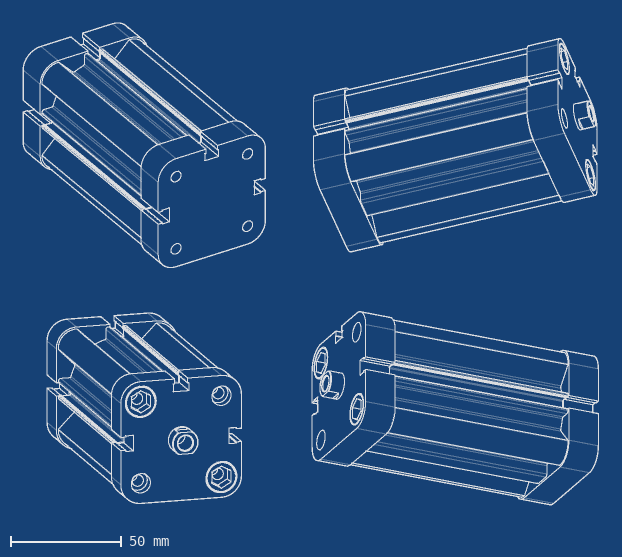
import cadquery as cq
import math

LENGTH = 123.0
ROD_PROTRUSION = 6.8
CAP_LENGTH = 14.8
CAP_SIZE = 57.0
CAP_CORNER_RADIUS = 9.5

FRONT_CAP_X = ROD_PROTRUSION
BARREL_X = FRONT_CAP_X + CAP_LENGTH
REAR_CAP_X = LENGTH - CAP_LENGTH
BARREL_LENGTH = REAR_CAP_X - BARREL_X

BOLT_OFFSET = CAP_SIZE / 2 - CAP_CORNER_RADIUS
BOLT_HOLE_DIAMETER = 5.3
RECESS_WIDTH = 9.0
RECESS_DEPTH = 4.9
SOCKET_DEPTH = 5.9
COLLAR_OUTER_RADIUS = 7.3
COLLAR_INNER_RADIUS = 6.8
COLLAR_GROOVE_DEPTH = 1.2

CAP_SLOT_DEPTH = 5.9
CAP_SLOT_FLOOR = CAP_SIZE / 2 - CAP_SLOT_DEPTH
CAP_SLOT_MOUTH = 6.2
CAP_SLOT_WIDTH = 7.3
CAP_LIP_THICKNESS = 2.3

BARREL_HALF = 27.5
TUBE_RADIUS = BARREL_HALF - BOLT_OFFSET
TUBE_EDGE = 18.7
SHELL_RADIUS = 22.3
VALLEY_RADIUS = 1.0
SLOT_BOSS_HALF = 5.0
SLOT_BOSS_TOP = 27.4
SLOT_BOSS_ROUND = 1.1
SLOT_BOSS_FOOT_RADIUS = 0.7
BARREL_LIP_HALF = 2.8
BARREL_LIP_CHAMFER = 0.4
BARREL_LIP_BOTTOM = CAP_SIZE / 2 - CAP_LIP_THICKNESS
BARREL_SLOT_WIDTH = 6.3
BARREL_FLOOR_DROP = 0.7
BARREL_SLOT_FLOOR = CAP_SLOT_FLOOR - BARREL_FLOOR_DROP
BARREL_SLOT_ROUND = 0.4
SLOT_ANGLES = (0, 90, -90)

ROD_DIAMETER = 12.0
ROD_TIP_CHAMFER = 0.2
ROD_FLATS = 10.1
ROD_FLAT_LENGTH = 5.2
ROD_FLAT_RUNOUT = 0.4
THREAD_DIAMETER = 7.6
THREAD_CHAMFER = 0.4
THREAD_DEPTH = 12.3
DRILL_ANGLE = 118.0


def cross_section(x):
    """Plane across the axis at x, with local x along -Y, local y along Z and normal -X."""
    return cq.Workplane(cq.Plane(origin=(x, 0, 0), xDir=(0, -1, 0), normal=(-1, 0, 0)))


def bolt_points(diagonal=None):
    """Bolt centres: all four, or the pair on one diagonal (+1 or -1)."""
    corners = [(u, v) for u in (-1, 1) for v in (-1, 1)]
    return [(u * BOLT_OFFSET, v * BOLT_OFFSET) for u, v in corners if diagonal in (None, u * v)]


def bolt_holes(x, length):
    """Four bolt holes of the given length, starting at x."""
    return cross_section(x).pushPoints(bolt_points()).circle(BOLT_HOLE_DIAMETER / 2).extrude(-length)


def turned(shape, angle):
    """The shape turned about the X axis by an angle in degrees."""
    return shape.rotate((0, 0, 0), (1, 0, 0), angle)


def cap_slot(x):
    """Undercut slot through the top of a cap starting at x."""
    top = CAP_SIZE / 2
    lip = top - CAP_LIP_THICKNESS
    mouth = CAP_SLOT_MOUTH / 2
    wide = CAP_SLOT_WIDTH / 2
    outline = [
        (-mouth, top), (-mouth, lip), (-wide, lip), (-wide, CAP_SLOT_FLOOR),
        (wide, CAP_SLOT_FLOOR), (wide, lip), (mouth, lip), (mouth, top),
    ]
    return cross_section(x).polyline(outline).close().extrude(-CAP_LENGTH)


def cap_block(x):
    """Rounded square block with its three slots."""
    block = cross_section(x).rect(CAP_SIZE, CAP_SIZE).extrude(-CAP_LENGTH)
    block = block.edges("|X").fillet(CAP_CORNER_RADIUS)
    for angle in SLOT_ANGLES:
        block = block.cut(turned(cap_slot(x), angle))
    return block


def make_front_cap():
    """Cap around the rod, with recesses and sockets at the bolt holes."""
    cap = cap_block(FRONT_CAP_X)
    face = cross_section(FRONT_CAP_X)
    cap = cap.cut(bolt_holes(FRONT_CAP_X, CAP_LENGTH))

    cap = cap.cut(face.pushPoints(bolt_points(1)).circle(RECESS_WIDTH / 2).extrude(-RECESS_DEPTH))

    hexagon_diameter = RECESS_WIDTH / math.cos(math.pi / 6)
    hexagon = cq.Sketch().regularPolygon(hexagon_diameter / 2, 6)
    sockets = bolt_points(-1)
    cap = cap.cut(face.pushPoints(sockets).placeSketch(hexagon).extrude(-SOCKET_DEPTH))
    groove = face.pushPoints(sockets).circle(COLLAR_OUTER_RADIUS).circle(COLLAR_INNER_RADIUS)
    cap = cap.cut(groove.extrude(-COLLAR_GROOVE_DEPTH))

    return cap.cut(face.circle(ROD_DIAMETER / 2).extrude(-CAP_LENGTH))


def make_rear_cap():
    """Closing cap with plain bolt holes."""
    return cap_block(REAR_CAP_X).cut(bolt_holes(REAR_CAP_X, CAP_LENGTH))


def barrel_valley(side):
    """Space above the slot boss and in the valley beside it, on the side u > 0 (+1) or u < 0 (-1)."""
    edge_drop = TUBE_EDGE - BOLT_OFFSET
    flank_top = BOLT_OFFSET + math.sqrt(TUBE_RADIUS ** 2 - edge_drop ** 2)
    flank_rise = flank_top - TUBE_EDGE

    round_rise = flank_rise + VALLEY_RADIUS * math.sqrt(2)
    reach = SHELL_RADIUS + VALLEY_RADIUS
    round_u = (math.sqrt(2 * reach ** 2 - round_rise ** 2) - round_rise) / 2
    round_v = round_u + round_rise
    on_flank = (round_u + VALLEY_RADIUS / math.sqrt(2), round_v - VALLEY_RADIUS / math.sqrt(2))
    on_shell = (round_u * SHELL_RADIUS / reach, round_v * SHELL_RADIUS / reach)
    mid_angle = (math.atan2(-round_v, -round_u) - math.pi / 4) / 2
    round_mid = (
        round_u + VALLEY_RADIUS * math.cos(mid_angle),
        round_v + VALLEY_RADIUS * math.sin(mid_angle),
    )

    foot_reach = SHELL_RADIUS + SLOT_BOSS_FOOT_RADIUS
    foot_u = SLOT_BOSS_HALF + SLOT_BOSS_FOOT_RADIUS
    foot_v = math.sqrt(foot_reach ** 2 - foot_u ** 2)
    foot_on_shell = (foot_u * SHELL_RADIUS / foot_reach, foot_v * SHELL_RADIUS / foot_reach)
    foot_mid_angle = (math.atan2(-foot_v, -foot_u) - math.pi) / 2
    foot_mid = (
        foot_u + SLOT_BOSS_FOOT_RADIUS * math.cos(foot_mid_angle),
        foot_v + SLOT_BOSS_FOOT_RADIUS * math.sin(foot_mid_angle),
    )

    shell_angle = (math.atan2(foot_v, foot_u) + math.atan2(round_v, round_u)) / 2
    shell_mid = (SHELL_RADIUS * math.cos(shell_angle), SHELL_RADIUS * math.sin(shell_angle))
    shoulder_u = SLOT_BOSS_HALF - SLOT_BOSS_ROUND
    shoulder_v = SLOT_BOSS_TOP - SLOT_BOSS_ROUND
    diagonal = SLOT_BOSS_ROUND / math.sqrt(2)
    above = CAP_SIZE / 2

    def at(u, v):
        return (side * u, v)

    outline = (
        cross_section(BARREL_X)
        .moveTo(*at(TUBE_EDGE, above))
        .lineTo(*at(TUBE_EDGE, flank_top))
        .lineTo(*at(*on_flank))
        .threePointArc(at(*round_mid), at(*on_shell))
        .threePointArc(at(*shell_mid), at(*foot_on_shell))
        .threePointArc(at(*foot_mid), at(SLOT_BOSS_HALF, foot_v))
        .lineTo(*at(SLOT_BOSS_HALF, shoulder_v))
        .threePointArc(
            at(shoulder_u + diagonal, shoulder_v + diagonal),
            at(shoulder_u, SLOT_BOSS_TOP),
        )
        .lineTo(0, SLOT_BOSS_TOP)
        .lineTo(0, above)
        .close()
    )
    return outline.extrude(-BARREL_LENGTH)


def barrel_slot():
    """Sensor slot with a chamfered lip on each side of its mouth."""
    wide = BARREL_SLOT_WIDTH / 2
    chamfer_top = BARREL_LIP_HALF + BARREL_LIP_CHAMFER
    half = [
        (chamfer_top, SLOT_BOSS_TOP),
        (BARREL_LIP_HALF, SLOT_BOSS_TOP - BARREL_LIP_CHAMFER),
        (BARREL_LIP_HALF, BARREL_LIP_BOTTOM),
        (wide, BARREL_LIP_BOTTOM),
        (wide, BARREL_SLOT_FLOOR),
    ]
    outline = half + [(-u, v) for u, v in reversed(half)]
    slot = cross_section(BARREL_X).polyline(outline).close().extrude(-BARREL_LENGTH)
    return slot.faces("<Z").edges("|X").fillet(BARREL_SLOT_ROUND)


def make_barrel():
    """Extruded tube with four corner tubes and three sensor slots."""
    barrel = cross_section(BARREL_X).rect(2 * BARREL_HALF, 2 * BARREL_HALF).extrude(-BARREL_LENGTH)
    barrel = barrel.edges("|X").fillet(TUBE_RADIUS)
    for angle in (0, 90, 180, 270):
        for side in (-1, 1):
            barrel = barrel.cut(turned(barrel_valley(side), angle))
    for angle in SLOT_ANGLES:
        barrel = barrel.cut(turned(barrel_slot(), angle))
    return barrel.cut(bolt_holes(BARREL_X, BARREL_LENGTH))


def make_rod():
    """Rod from its tip to the barrel face."""
    rod = cross_section(0).circle(ROD_DIAMETER / 2).extrude(-BARREL_X)
    rod = rod.faces("<X").chamfer(ROD_TIP_CHAMFER)

    half_flats = ROD_FLATS / 2
    radius = ROD_DIAMETER / 2
    flat_end = ROD_FLAT_LENGTH + ROD_FLAT_RUNOUT
    flat = (
        cq.Workplane("XZ")
        .polyline([(0, half_flats), (ROD_FLAT_LENGTH, half_flats), (flat_end, radius), (0, radius)])
        .close()
        .extrude(radius, both=True)
    )
    for angle in (0, 180):
        rod = rod.cut(turned(flat, angle))

    mouth = THREAD_DIAMETER / 2
    bore = mouth - THREAD_CHAMFER
    tip = THREAD_DEPTH + bore / math.tan(math.radians(DRILL_ANGLE / 2))
    hole = (
        cq.Workplane("XZ")
        .polyline([(0, 0), (0, mouth), (THREAD_CHAMFER, bore), (THREAD_DEPTH, bore), (tip, 0)])
        .close()
        .revolve(360, (0, 0, 0), (1, 0, 0))
    )
    return rod.cut(hole)


front_cap = make_front_cap()
barrel = make_barrel()
rear_cap = make_rear_cap()
rod = make_rod()

result = cq.Compound.makeCompound([front_cap.val(), barrel.val(), rear_cap.val(), rod.val()])